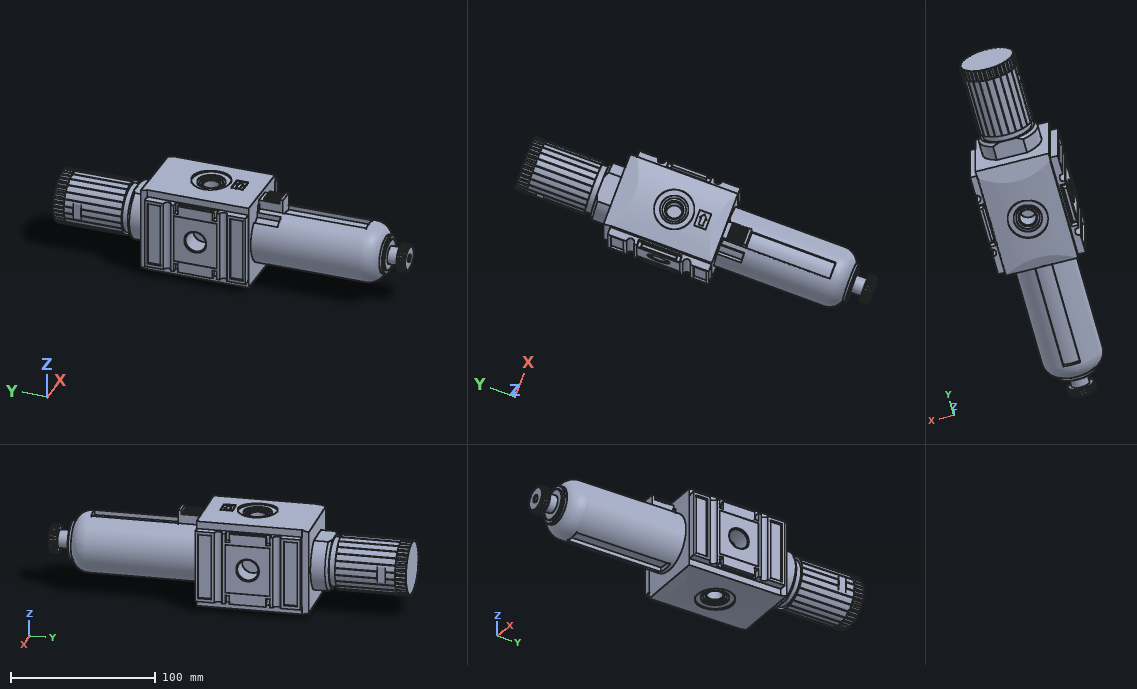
import cadquery as cq
import math


overall_length = 257.0
overall_width = 63.0
overall_height = 67.0

block_width = 52.0
block_edge_height = 62.7
block_front_y = -37.5
crown_bevel_length = 8.2
back_bevel_length = 5.0
back_bevel_drop = 1.3
cap_width = 52.5

plate_height = 52.0
plate_front_setback = 0.3
clamp_groove_diameter = 5.5
clamp_groove_inset = 0.39
clamp_groove_y = 20.8
panel_length = 9.5
panel_height = 47.3
panel_y = 30.5
panel_depth = 1.8
centre_panel_length = 31.9
centre_panel_height = 35.5
centre_panel_depth = 0.3
slot_length = 3.0
slot_height = 6.2
slot_depth = 4.0
tongue_length = 25.7
tongue_thickness = 2.3

side_port_mouth_diameter = 16.5
side_port_diameter = 15.0
side_port_depth = 15.5
face_port_spotface_diameter = 28.0
face_port_spotface_depth = 1.5
face_port_counterbore_diameter = 19.8
face_port_counterbore_depth = 0.8
face_port_step_diameter = 16.5
face_port_step_depth = 0.8
face_port_chamfer = 0.8
face_port_diameter = 11.5
face_port_depth = 18.0

arrow_panel_length = 11.5
arrow_panel_height = 8.5
arrow_panel_y = -21.0
arrow_panel_floor_z = 32.6
arrow_height = 0.5
arrow_length = 8.2
arrow_tail_length = 5.0
arrow_shaft_width = 3.0
arrow_head_width = 5.1

nut_diameter = 42.5
nut_flat_width = 36.5
nut_length = 12.3
nut_chamfer = 2.0
neck_diameter = 35.0
neck_length = 4.5

knob_diameter = 39.0
knob_grip_length = 42.7
knob_rim_length = 8.0
knob_rim_chamfer = 0.5
grip_line_count = 24
grip_line_half_width = 0.3
grip_line_depth = 0.3
rim_notch_count = 36
rim_notch_half_width = 1.5
rim_notch_depth = 0.8
knob_window_length = 6.0
knob_window_height = 11.5
knob_window_depth = 0.8
knob_window_from_top = 17.7

bowl_diameter = 43.7
bowl_wall_length = 81.2
bowl_dome_radius = 11.5
bowl_recess_floor_diameter = 37.0
window_width = 12.0
window_length = 76.5
window_offset = 3.0
end_disc_diameter = 28.0
end_disc_length = 1.8
end_disc_chamfer = 0.5
end_boss_diameter = 23.0
end_boss_length = 0.8
end_boss_chamfer = 0.39

side_recess_inner_x = -9.5
side_recess_angle = 137.0

latch_length = 17.7
latch_deck_z = 27.8
latch_rib_top_z = 29.3
latch_stop_top_z = 30.8
latch_stop_length = 2.3
latch_rib_count = 5
latch_rib_pitch = 2.3
latch_rib_length = 1.3
latch_rib_offset = 3.5
latch_foot_width = 17.0
latch_foot_top_z = 24.5
latch_foot_length = 0.8
latch_foot_radius = 1.3

drain_stem_diameter = 13.0
drain_wheel_diameter = 19.8
drain_wheel_face_diameter = 16.5
drain_wheel_length = 6.2
drain_wheel_chamfer_length = 1.0
drain_notch_count = 24
drain_notch_width = 1.0
drain_notch_depth = 0.8
drain_bore_diameter = 4.0
drain_bore_depth = 5.1
drain_bore_chamfer = 0.8

block_back_y = -block_front_y + back_bevel_length
nut_end_y = block_back_y + nut_length
knob_start_y = nut_end_y + neck_length
knob_rim_y = knob_start_y + knob_grip_length
knob_end_y = knob_rim_y + knob_rim_length
dome_start_y = block_front_y - bowl_wall_length
dome_end_y = dome_start_y - bowl_dome_radius
disc_end_y = dome_end_y - end_disc_length
boss_end_y = disc_end_y - end_boss_length
wheel_end_y = knob_end_y - overall_length
wheel_start_y = wheel_end_y + drain_wheel_length

plate_face_x = overall_width / 2


def box(x_size, y_size, z_size, centre):
    return cq.Workplane("XY").box(x_size, y_size, z_size).translate(centre)


def turned(radius_and_y):
    """Solid of revolution about Y from (radius, y) points; the axis closes the profile."""
    outline = [(0, radius_and_y[0][1]), *radius_and_y, (0, radius_and_y[-1][1])]
    return cq.Workplane("XY").polyline(outline).close().revolve(360, (0, 0), (0, 1))


def cut_around_y(body, cutter, count, first_angle=0):
    """Cut copies of a cutter from the body, evenly spaced around the Y axis."""
    cutters = []
    for index in range(count):
        angle = first_angle + index * 360 / count
        cutters.append(cutter.rotate((0, 0, 0), (0, 1, 0), angle).val())
    return body.cut(cq.Workplane(cq.Compound.makeCompound(cutters)))


def both_ways(shape, plane):
    """The shape together with its mirror image."""
    return shape.union(shape.mirror(plane))



def housing_block():
    """Block with cylindrically crowned faces that are bevelled towards both ends."""
    half_width = block_width / 2
    edge_z = block_edge_height / 2
    top_z = overall_height / 2
    shoulder_y = -block_front_y
    crown_end_y = shoulder_y - crown_bevel_length
    upper_side = [
        (block_front_y, edge_z),
        (-crown_end_y, top_z),
        (crown_end_y, top_z),
        (shoulder_y, edge_z),
    ]
    lower_side = [(y, -z) for y, z in reversed(upper_side)]
    side_profile = (
        cq.Workplane("YZ").polyline(upper_side + lower_side).close().extrude(half_width, both=True)
    )
    crown_profile = (
        cq.Workplane("XZ")
        .moveTo(-half_width, -edge_z)
        .threePointArc((0, -top_z), (half_width, -edge_z))
        .lineTo(half_width, edge_z)
        .threePointArc((0, top_z), (-half_width, edge_z))
        .close()
        .extrude(shoulder_y, both=True)
    )
    return side_profile.intersect(crown_profile)


def housing_cap():
    """Slightly wider end of the block, tapered in height towards the nut."""
    shoulder_y = -block_front_y
    shoulder_z = block_edge_height / 2
    back_z = shoulder_z - back_bevel_drop
    return (
        cq.Workplane("YZ")
        .moveTo(shoulder_y, -shoulder_z)
        .lineTo(shoulder_y, shoulder_z)
        .lineTo(block_back_y, back_z)
        .lineTo(block_back_y, -back_z)
        .close()
        .extrude(cap_width / 2, both=True)
    )


def side_plates():
    """Plates on both sides, set back a little from the front face of the block."""
    length = -2 * block_front_y - plate_front_setback
    return box(overall_width, length, plate_height, (0, plate_front_setback / 2, 0))


def plate_cutters():
    """Everything cut from the plate on the +X side."""
    groove_x = plate_face_x - clamp_groove_inset
    grooves = (
        cq.Workplane("XY")
        .pushPoints([(groove_x, clamp_groove_y), (groove_x, -clamp_groove_y)])
        .circle(clamp_groove_diameter / 2)
        .extrude(plate_height, both=True)
    )
    panel = box(2 * panel_depth, panel_length, panel_height, (plate_face_x, panel_y, 0))
    centre_panel = box(
        2 * centre_panel_depth, centre_panel_length, centre_panel_height, (plate_face_x, 0, 0)
    )

    plate_top = plate_height / 2
    slot_y = tongue_length / 2 + slot_length / 2
    slot_z = plate_top - slot_height / 2
    slot = box(2 * slot_depth, slot_length, slot_height, (plate_face_x, slot_y, slot_z))
    tongue_back_x = plate_face_x - tongue_thickness
    wedge = (
        cq.Workplane("XZ")
        .moveTo(tongue_back_x, plate_top)
        .lineTo(plate_face_x - slot_depth, plate_top)
        .lineTo(plate_face_x - slot_depth, plate_top - slot_height)
        .close()
        .extrude(tongue_length / 2, both=True)
    )
    tongue_cuts = both_ways(both_ways(slot, "XZ").union(wedge), "XY")
    return grooves.union(both_ways(panel, "XZ")).union(centre_panel).union(tongue_cuts)


def face_port_cutter():
    """Stepped gauge port that opens on the +Z face."""
    spotface_z = overall_height / 2 - face_port_spotface_depth
    counterbore_z = spotface_z - face_port_counterbore_depth
    step_z = counterbore_z - face_port_step_depth
    bore_radius = face_port_diameter / 2
    bottom_z = overall_height / 2 - face_port_depth
    return (
        cq.Workplane("XZ")
        .moveTo(0, overall_height)
        .lineTo(face_port_spotface_diameter / 2, overall_height)
        .lineTo(face_port_spotface_diameter / 2, spotface_z)
        .lineTo(face_port_counterbore_diameter / 2, spotface_z)
        .lineTo(face_port_counterbore_diameter / 2, counterbore_z)
        .lineTo(face_port_step_diameter / 2, counterbore_z)
        .lineTo(face_port_step_diameter / 2, step_z)
        .lineTo(bore_radius + face_port_chamfer, step_z)
        .lineTo(bore_radius, step_z - face_port_chamfer)
        .lineTo(bore_radius, bottom_z)
        .lineTo(0, bottom_z)
        .close()
        .revolve(360, (0, 0), (0, 1))
    )


def side_port_cutter():
    """Blind port with a chamfered mouth that opens on the +X side."""
    mouth_radius = side_port_mouth_diameter / 2
    bore_radius = side_port_diameter / 2
    mouth_x = plate_face_x - centre_panel_depth
    bottom_x = plate_face_x - side_port_depth
    return (
        cq.Workplane("XY")
        .moveTo(bottom_x, 0)
        .lineTo(bottom_x, bore_radius)
        .lineTo(mouth_x - (mouth_radius - bore_radius), bore_radius)
        .lineTo(mouth_x, mouth_radius)
        .lineTo(plate_face_x, mouth_radius)
        .lineTo(plate_face_x, 0)
        .close()
        .revolve(360, (0, 0), (1, 0))
    )


def arrow_panel_cutter():
    """Shallow rectangular pocket around a raised arrow that points to +X."""
    pocket = (
        cq.Workplane("XY", origin=(0, arrow_panel_y, arrow_panel_floor_z))
        .rect(arrow_panel_length, arrow_panel_height)
        .extrude(overall_height / 2)
    )
    tail_x = -arrow_length / 2
    neck_x = tail_x + arrow_tail_length
    upper_half = [
        (tail_x, arrow_shaft_width / 2),
        (neck_x, arrow_shaft_width / 2),
        (neck_x, arrow_head_width / 2),
    ]
    lower_half = [(x, -y) for x, y in reversed(upper_half)]
    arrow = (
        cq.Workplane("XY", origin=(0, arrow_panel_y, arrow_panel_floor_z))
        .polyline([*upper_half, (arrow_length / 2, 0), *lower_half])
        .close()
        .extrude(arrow_height)
    )
    return pocket.cut(arrow)


def nut_and_neck():
    """Round nut with two flats and a chamfered end, then the neck that carries the knob."""
    nut_radius = nut_diameter / 2
    nut = turned([
        (nut_radius, block_back_y),
        (nut_radius, nut_end_y - nut_chamfer),
        (nut_radius - nut_chamfer, nut_end_y),
    ])
    nut_middle_y = block_back_y + nut_length / 2
    nut = nut.intersect(box(nut_diameter, nut_length, nut_flat_width, (0, nut_middle_y, 0)))
    neck = turned([(neck_diameter / 2, nut_end_y), (neck_diameter / 2, knob_start_y)])
    return nut.union(neck)


def make_housing():
    body = housing_block().union(side_plates()).union(housing_cap()).union(nut_and_neck())
    body = body.cut(both_ways(plate_cutters(), "YZ"))
    body = body.cut(both_ways(side_port_cutter(), "YZ"))
    body = body.cut(both_ways(face_port_cutter(), "XY"))
    return body.cut(arrow_panel_cutter())



def knob_notch(start_y, length, half_width, depth):
    """V-shaped cutter along the knob, with its widest part at the knob surface."""
    radius = knob_diameter / 2
    return (
        cq.Workplane("XZ", origin=(0, start_y, 0))
        .moveTo(-half_width, radius + depth)
        .lineTo(-half_width, radius)
        .lineTo(0, radius - depth)
        .lineTo(half_width, radius)
        .lineTo(half_width, radius + depth)
        .close()
        .extrude(-length)
    )


def make_knob():
    radius = knob_diameter / 2
    body = turned([
        (radius, knob_start_y),
        (radius, knob_end_y - knob_rim_chamfer),
        (radius - knob_rim_chamfer, knob_end_y),
    ])

    grip_line = knob_notch(knob_start_y, knob_grip_length, grip_line_half_width, grip_line_depth)
    grip_step = 360 / grip_line_count
    body = cut_around_y(body, grip_line, grip_line_count, grip_step / 2)

    rim_notch = knob_notch(knob_rim_y, knob_rim_length, rim_notch_half_width, rim_notch_depth)
    body = cut_around_y(body, rim_notch, rim_notch_count)

    window_y = knob_end_y - knob_window_from_top
    window = box(
        2 * knob_window_depth, knob_window_length, knob_window_height, (radius, window_y, 0)
    )
    return body.cut(both_ways(window, "YZ"))



def bowl_shell():
    """Bowl wall, dome and the two stepped discs on its end."""
    radius = bowl_diameter / 2
    dome = (
        cq.Workplane("XY")
        .moveTo(0, block_front_y)
        .lineTo(radius, block_front_y)
        .lineTo(radius, dome_start_y)
        .radiusArc((radius - bowl_dome_radius, dome_end_y), bowl_dome_radius)
        .lineTo(0, dome_end_y)
        .close()
        .revolve(360, (0, 0), (0, 1))
    )
    disc_radius = end_disc_diameter / 2
    disc = turned([
        (disc_radius, dome_end_y + end_disc_chamfer),
        (disc_radius, disc_end_y + end_disc_chamfer),
        (disc_radius - end_disc_chamfer, disc_end_y),
    ])
    boss_radius = end_boss_diameter / 2
    boss = turned([
        (boss_radius, disc_end_y),
        (boss_radius, boss_end_y + end_boss_chamfer),
        (boss_radius - end_boss_chamfer, boss_end_y),
    ])
    return dome.union(disc).union(boss)


def recess_floor():
    """Cylinder that bounds the bowl recesses from below."""
    floor_radius = bowl_recess_floor_diameter / 2
    return turned([(floor_radius, block_front_y), (floor_radius, dome_end_y)])


def window_cutter():
    """Long recesses at the top and the bottom of the bowl."""
    window_y = block_front_y - window_offset - window_length / 2
    strip = box(window_width, window_length, 2 * bowl_diameter, (0, window_y, 0))
    return strip.cut(recess_floor())


def side_recess_cutter():
    """Recess between a radial lower wall and an upright wall next to the latch."""
    angle = math.radians(side_recess_angle)
    outer_x = bowl_diameter * math.cos(angle)
    outer_z = bowl_diameter * math.sin(angle)
    inner_z = side_recess_inner_x * math.tan(angle)
    sector = (
        cq.Workplane("XZ", origin=(0, block_front_y, 0))
        .moveTo(side_recess_inner_x, inner_z)
        .lineTo(outer_x, outer_z)
        .lineTo(side_recess_inner_x, outer_z)
        .close()
        .extrude(latch_length)
    )
    return sector.cut(recess_floor())


def latch_part(start_offset, length, top_z):
    """Block of the latch that rises from the recess floor to the given height."""
    middle_y = block_front_y - start_offset - length / 2
    return box(window_width, length, top_z, (0, middle_y, top_z / 2))


def make_latch():
    latch = latch_part(0, latch_length, latch_deck_z)
    for index in range(latch_rib_count):
        offset = latch_rib_offset + index * latch_rib_pitch
        latch = latch.union(latch_part(offset, latch_rib_length, latch_rib_top_z))
    stop_offset = latch_length - latch_stop_length
    latch = latch.union(latch_part(stop_offset, latch_stop_length, latch_stop_top_z))
    foot_y = block_front_y - latch_foot_length / 2
    foot = box(latch_foot_width, latch_foot_length, latch_foot_top_z, (0, foot_y, latch_foot_top_z / 2))
    return latch.union(foot.edges("|Y and >Z").fillet(latch_foot_radius))


def drain_valve():
    """Stem and notched hand wheel with a small centre bore."""
    stem_radius = drain_stem_diameter / 2
    wheel_radius = drain_wheel_diameter / 2
    face_radius = drain_wheel_face_diameter / 2
    valve = turned([
        (stem_radius, boss_end_y),
        (stem_radius, wheel_start_y),
        (wheel_radius, wheel_start_y),
        (wheel_radius, wheel_end_y + drain_wheel_chamfer_length),
        (face_radius, wheel_end_y),
    ])
    wheel_middle_y = (wheel_start_y + wheel_end_y) / 2
    notch = box(
        drain_notch_width, drain_wheel_length, 2 * drain_notch_depth, (0, wheel_middle_y, wheel_radius)
    )
    valve = cut_around_y(valve, notch, drain_notch_count, 360 / drain_notch_count / 2)
    bore_radius = drain_bore_diameter / 2
    bore = turned([
        (bore_radius + drain_bore_chamfer, wheel_end_y),
        (bore_radius, wheel_end_y + drain_bore_chamfer),
        (bore_radius, wheel_end_y + drain_bore_depth),
    ])
    return valve.cut(bore)


def make_bowl():
    bowl = bowl_shell().cut(window_cutter()).cut(side_recess_cutter())
    return bowl.union(make_latch()).union(drain_valve())


housing = make_housing()
knob = make_knob()
bowl = make_bowl()

result = cq.Compound.makeCompound([housing.val(), knob.val(), bowl.val()])